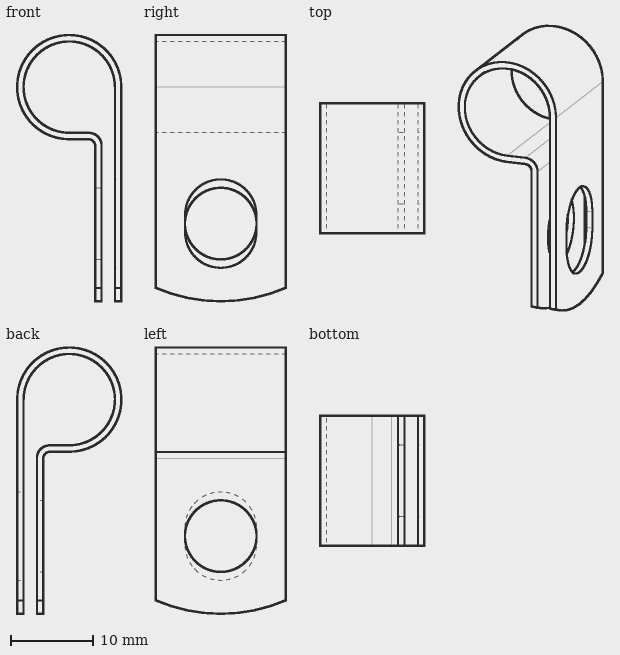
import cadquery as cq
import math

total_height = 32.48
width = 15.88
loop_radius = 6.35
thickness = 0.8
leg_gap = 1.6
bend_radius = 1.6
tip_rise = 1.65
hole_diameter = 8.7
hole_below_top = 23.0
slot_length = 10.78

inner_radius = loop_radius - thickness
bend_inner_radius = bend_radius - thickness
bottom_z = loop_radius - total_height
hole_z = loop_radius - hole_below_top
short_leg_right = inner_radius - leg_gap
short_leg_left = short_leg_right - thickness
bend_x = short_leg_right - bend_radius
bend_z = -inner_radius - bend_radius
half_width = width / 2


def diagonal_point(x, z, radius):
    """Point on an arc, up and to the right of its centre at 45 degrees."""
    offset = radius * math.sqrt(0.5)
    return (x + offset, z + offset)


def bent_strip():
    """Side profile of the strip, extruded across its width."""
    return (
        cq.Workplane("XZ")
        .moveTo(loop_radius, bottom_z)
        .lineTo(loop_radius, 0)
        .threePointArc((-loop_radius, 0), (0, -loop_radius))
        .lineTo(bend_x, -loop_radius)
        .threePointArc(
            diagonal_point(bend_x, bend_z, bend_inner_radius),
            (short_leg_left, bend_z),
        )
        .lineTo(short_leg_left, bottom_z)
        .lineTo(short_leg_right, bottom_z)
        .lineTo(short_leg_right, bend_z)
        .threePointArc(
            diagonal_point(bend_x, bend_z, bend_radius),
            (bend_x, -inner_radius),
        )
        .lineTo(0, -inner_radius)
        .threePointArc((-inner_radius, 0), (inner_radius, 0))
        .lineTo(inner_radius, bottom_z)
        .close()
        .extrude(half_width, both=True)
    )


def rounded_end_outline():
    """Outline of the whole clip along X, with the arc across the leg ends."""
    return (
        cq.Workplane("YZ")
        .moveTo(-half_width, loop_radius)
        .lineTo(-half_width, bottom_z + tip_rise)
        .threePointArc((0, bottom_z), (half_width, bottom_z + tip_rise))
        .lineTo(half_width, loop_radius)
        .close()
        .extrude(loop_radius, both=True)
    )


def short_leg_hole():
    """Round screw hole through the short leg."""
    return (
        cq.Workplane("YZ", origin=(short_leg_left, 0, hole_z))
        .circle(hole_diameter / 2)
        .extrude(thickness)
    )


def long_leg_slot():
    """Upright slot through the long leg, centred on the screw hole."""
    return (
        cq.Workplane("YZ", origin=(inner_radius, 0, hole_z))
        .slot2D(slot_length, hole_diameter, angle=90)
        .extrude(thickness)
    )


result = (
    bent_strip()
    .intersect(rounded_end_outline())
    .cut(short_leg_hole())
    .cut(long_leg_slot())
)